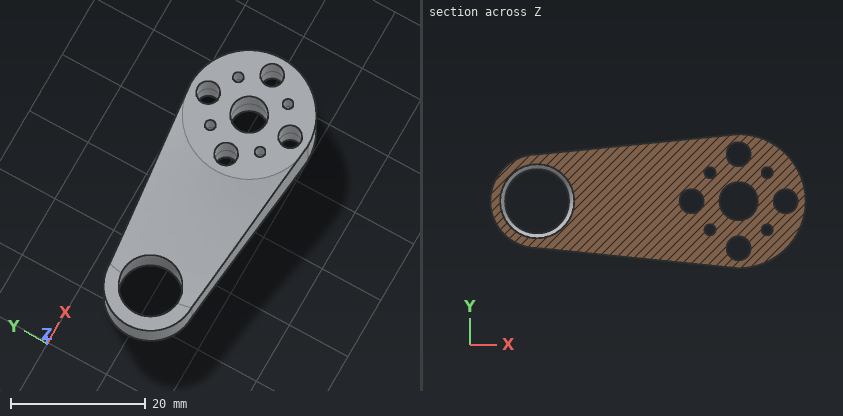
import cadquery as cq
import math

length = 47.0
hub_radius = 10.0
hub_height = 8.0
tip_radius = 7.0
tip_height = 5.5
tip_x = -(length - hub_radius - tip_radius)

socket_diameter = 11.0

center_hole_diameter = 5.65
large_hole_diameter = 3.52
large_hole_circle_radius = 7.0
small_hole_diameter = 1.6
small_hole_circle_radius = 6.0
holes_per_circle = 4
small_hole_start_angle = 45.0

blend_outer_radius = math.hypot(tip_x, tip_radius)
blend_length = blend_outer_radius - hub_radius
blend_drop = (hub_height - tip_height) / 2
blend_arc_radius = (blend_length**2 + blend_drop**2) / (2 * blend_drop)
half_angle = math.asin(blend_length / blend_arc_radius) / 2
blend_mid_radius = blend_outer_radius - blend_arc_radius * math.sin(half_angle)
blend_mid_z = tip_height / 2 + blend_arc_radius * (1 - math.cos(half_angle))


def arm_outline():
    """Semicircular ends joined by straight sides, extruded to full height."""
    return (
        cq.Workplane("XY")
        .moveTo(0, hub_radius)
        .threePointArc((hub_radius, 0), (0, -hub_radius))
        .lineTo(tip_x, -tip_radius)
        .threePointArc((tip_x - tip_radius, 0), (tip_x, tip_radius))
        .close()
        .extrude(hub_height / 2, both=True)
    )


def thickness_envelope():
    """Revolved body that thins from the flat hub faces to the flat tip faces."""
    reach = length
    return (
        cq.Workplane("XZ")
        .moveTo(0, hub_height / 2)
        .lineTo(hub_radius, hub_height / 2)
        .threePointArc((blend_mid_radius, blend_mid_z), (blend_outer_radius, tip_height / 2))
        .lineTo(reach, tip_height / 2)
        .lineTo(reach, -tip_height / 2)
        .lineTo(blend_outer_radius, -tip_height / 2)
        .threePointArc((blend_mid_radius, -blend_mid_z), (hub_radius, -hub_height / 2))
        .lineTo(0, -hub_height / 2)
        .close()
        .revolve(360, (0, 0), (0, 1))
    )


def hole_circle(diameter, circle_radius, start_angle):
    """Cutters for a ring of equally spaced through holes in the hub."""
    return (
        cq.Workplane("XY")
        .polarArray(circle_radius, start_angle, 360, holes_per_circle)
        .circle(diameter / 2)
        .extrude(hub_height, both=True)
    )


arm = arm_outline().intersect(thickness_envelope())

socket = cq.Workplane("XY").sphere(socket_diameter / 2).translate((tip_x, 0, 0))
center_hole = cq.Workplane("XY").circle(center_hole_diameter / 2).extrude(hub_height, both=True)

result = (
    arm.cut(socket)
    .cut(center_hole)
    .cut(hole_circle(large_hole_diameter, large_hole_circle_radius, 0))
    .cut(hole_circle(small_hole_diameter, small_hole_circle_radius, small_hole_start_angle))
)